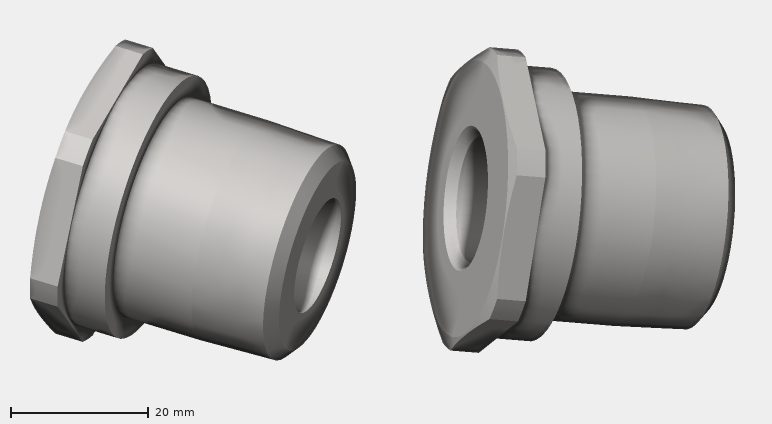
import cadquery as cq
import math

overall_length = 36.6
hex_across_flats = 41.0
hex_across_corners = hex_across_flats / math.cos(math.radians(30))
hex_corner_diameter = 45.1
hex_thickness = 5.0
hex_face_diameter = 40.55
hex_chamfer_depth = 0.65

collar_diameter = 40.0
collar_end = 11.4
body_diameter = 33.55
body_end = 23.75
taper_end_diameter = 32.8
taper_end = 34.95
tip_diameter = 28.85

bore_mouth_diameter = 18.35
bore_tip_diameter = 17.5
countersink_diameter = 21.3
countersink_depth = (countersink_diameter - bore_mouth_diameter) / 2


def revolve_about_x(points):
    """Revolve a closed (x, radius) outline about the X axis."""
    return cq.Workplane("XY").polyline(points).close().revolve(360, (0, 0, 0), (1, 0, 0))


def hex_flange():
    """Hexagon with flats facing +Z and -Z, its corners rounded and chamfered on the face."""
    hexagon = (
        cq.Workplane("YZ")
        .polygon(6, hex_across_corners)
        .extrude(hex_thickness)
    )
    corner_envelope = revolve_about_x([
        (0, 0),
        (0, hex_face_diameter / 2),
        (hex_chamfer_depth, hex_corner_diameter / 2),
        (hex_thickness, hex_corner_diameter / 2),
        (hex_thickness, 0),
    ])
    return hexagon.intersect(corner_envelope)


def stepped_shank():
    """Collar, straight body, slightly tapered nose and chamfered tip."""
    return revolve_about_x([
        (hex_thickness, 0),
        (hex_thickness, collar_diameter / 2),
        (collar_end, collar_diameter / 2),
        (collar_end, body_diameter / 2),
        (body_end, body_diameter / 2),
        (taper_end, taper_end_diameter / 2),
        (overall_length, tip_diameter / 2),
        (overall_length, 0),
    ])


def countersunk_bore():
    """Through bore narrowing slightly towards the tip, with a 45 degree countersink in the hexagon face."""
    return revolve_about_x([
        (0, 0),
        (0, countersink_diameter / 2),
        (countersink_depth, bore_mouth_diameter / 2),
        (overall_length, bore_tip_diameter / 2),
        (overall_length, 0),
    ])


result = hex_flange().union(stepped_shank()).cut(countersunk_bore())